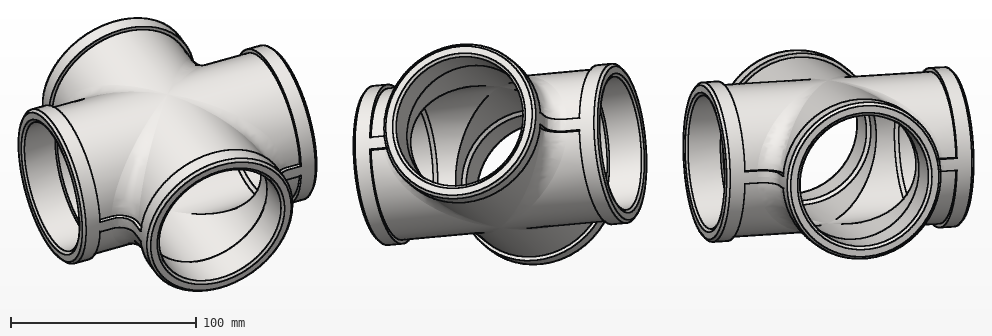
import cadquery as cq

length = 139.0
collar_diameter = 86.5
collar_length = 9.9
rim_chamfer = 1.5
body_diameter = 82.3
blend_radius = 11.1
rib_thickness = 6.7
socket_diameter = 72.3
socket_depth = 19.3
socket_runout = 2.0
cavity_diameter = 76.0
mouth_diameter = 75.6
mouth_chamfer_depth = 1.1

half_length = length / 2
collar_blend_radius = blend_radius - (collar_diameter - body_diameter) / 2
cavity_half_length = half_length - socket_depth - socket_runout
arm_angles = (0, 90, 180, 270)


def crossed_runs(diameter, run_length):
    """Two equal cylinders along X and Y, crossing at the origin."""
    along_x = cq.Workplane("YZ").circle(diameter / 2).extrude(run_length / 2, both=True)
    return along_x.union(along_x.rotate((0, 0, 0), (0, 0, 1), 90))


def blended_cross(diameter, seam_radius):
    """Full-length crossed runs with the elliptical seams between the arms rounded."""
    return crossed_runs(diameter, length).edges("%ELLIPSE").fillet(seam_radius)


def collars_and_rib():
    """Raised surface: chamfered collars at the mouths, joined by a rib at mid-height."""
    raised = blended_cross(collar_diameter, collar_blend_radius)
    raised = raised.faces("<X or >X or <Y or >Y").edges("%CIRCLE").chamfer(rim_chamfer)
    inner_length = length - 2 * collar_length
    gap_height = collar_diameter / 2
    for gap_side in (1, -1):
        gap = cq.Workplane("XY").box(inner_length, inner_length, gap_height)
        gap_centre = gap_side * (rib_thickness + gap_height) / 2
        raised = raised.cut(gap.translate((0, 0, gap_centre)))
    return raised


def socket():
    """Cutter for the socket of the +X arm, flared at the mouth and tapered at its inner end."""
    socket_radius = socket_diameter / 2
    half_profile = [
        (half_length, 0),
        (half_length, mouth_diameter / 2),
        (half_length - mouth_chamfer_depth, socket_radius),
        (half_length - socket_depth, socket_radius),
        (cavity_half_length, cavity_diameter / 2),
        (cavity_half_length, 0),
    ]
    return cq.Workplane("XY").polyline(half_profile).close().revolve(360, (0, 0), (1, 0))


result = blended_cross(body_diameter, blend_radius).union(collars_and_rib())

result = result.cut(crossed_runs(cavity_diameter, 2 * cavity_half_length))
for angle in arm_angles:
    result = result.cut(socket().rotate((0, 0, 0), (0, 0, 1), angle))